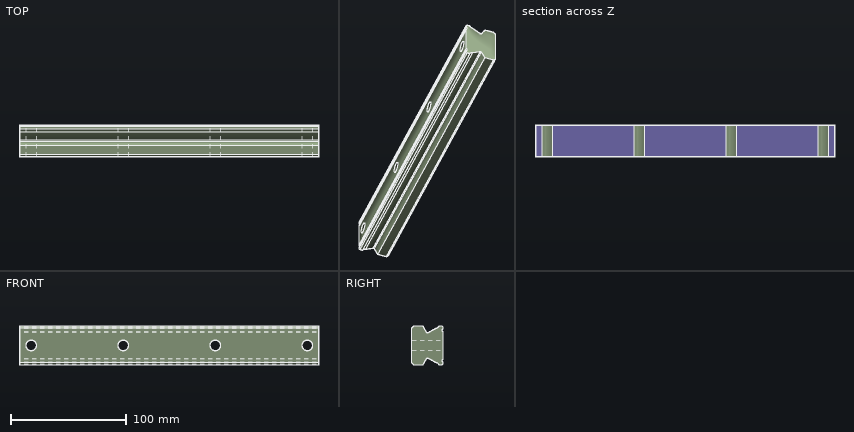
import cadquery as cq

length = 260.0
height = 27.5
width = 34.0

base_chamfer = 2.0
head_chamfer = 1.0

race_start = 3.5
race_end = 6.1
race_depth = 2.0
race_radius = 3.0
floor_start = 13.1
floor_end = 14.2
notch_depth = 5.85
notch_end = 17.5

head_groove_inset = 3.75
head_groove_width = 2.6
head_groove_depth = 0.9

hole_diameter = 9.0
hole_count = 4
hole_pitch = 80.0

head_y = height / 2
base_y = -height / 2
flank_z = width / 2


def make_rail_body():
    """Extrude half of the profile along X and mirror it about the middle plane."""
    floor_z = flank_z - notch_depth
    profile = (
        cq.Workplane("YZ")
        .moveTo(base_y, 0)
        .lineTo(base_y, flank_z - base_chamfer)
        .lineTo(base_y + base_chamfer, flank_z)
        .lineTo(head_y - notch_end, flank_z)
        .lineTo(head_y - floor_end, floor_z)
        .lineTo(head_y - floor_start, floor_z)
        .lineTo(head_y - race_end, flank_z - race_depth)
        .radiusArc((head_y - race_start, flank_z), -race_radius)
        .lineTo(head_y - head_chamfer, flank_z)
        .lineTo(head_y, flank_z - head_chamfer)
        .lineTo(head_y, 0)
        .close()
    )
    half = profile.extrude(length / 2, both=True)
    return half.union(half.mirror("XY"))


def make_head_groove(side):
    """Rounded groove along the head, on the side given by the sign of Z."""
    half_opening = head_groove_width / 2
    center_z = side * (flank_z - head_groove_inset)
    return (
        cq.Workplane("YZ")
        .moveTo(head_y, center_z - half_opening)
        .threePointArc((head_y - head_groove_depth, center_z), (head_y, center_z + half_opening))
        .close()
        .extrude(length / 2, both=True)
    )


def make_mounting_holes():
    """Row of plain holes through the rail along Y."""
    return (
        cq.Workplane("XZ")
        .rarray(hole_pitch, 1, hole_count, 1)
        .circle(hole_diameter / 2)
        .extrude(height, both=True)
    )


result = make_rail_body()
for flank_side in (-1, 1):
    result = result.cut(make_head_groove(flank_side))
result = result.cut(make_mounting_holes())